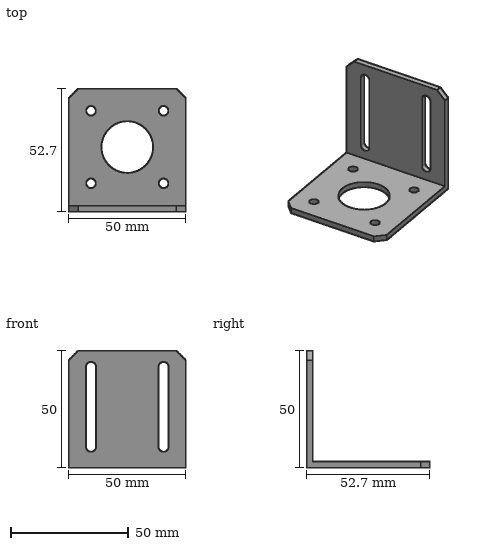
import cadquery as cq

width = 50.0
depth = 52.7
height = 50.0
thickness = 2.7
corner_chamfer = 4.0

hole_spacing = 31.0
hole_diameter = 4.0
bore_diameter = 22.0

slot_width = 4.2
slot_length = 38.3
slot_center_height = 26.05

pattern_center_y = (thickness + depth) / 2


def make_base():
    base = cq.Workplane("XY").box(width, depth, thickness, centered=(True, False, False))
    base = base.edges("|Z and >Y").chamfer(corner_chamfer)
    pattern = base.faces(">Z").workplane(origin=(0, pattern_center_y, thickness))
    base = pattern.hole(bore_diameter)
    pattern = base.faces(">Z").workplane(origin=(0, pattern_center_y, thickness))
    return pattern.rect(hole_spacing, hole_spacing, forConstruction=True).vertices().hole(hole_diameter)


def make_upright():
    upright = cq.Workplane("XY").box(width, thickness, height, centered=(True, False, False))
    upright = upright.edges("|Y and >Z").chamfer(corner_chamfer)
    slots = (
        cq.Workplane("XZ")
        .pushPoints([(side * hole_spacing / 2, slot_center_height) for side in (-1, 1)])
        .slot2D(slot_length, slot_width, angle=90)
        .extrude(-thickness)
    )
    return upright.cut(slots)


result = make_base().union(make_upright())